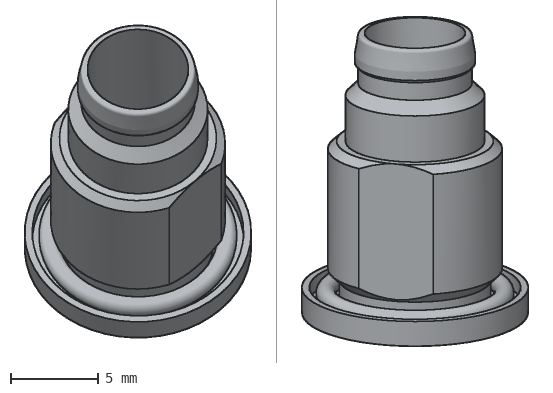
import cadquery as cq

total_height = 16.8
bore_radius = 2.89

cup_radius = 6.5
cup_wall = 0.44
cup_height = 1.5
cup_floor = 0.6

ring_section_radius = 0.55
ring_outer_radius = 5.68
ring_center_radius = ring_outer_radius - ring_section_radius
ring_center_z = cup_floor + ring_section_radius

neck_radius = 4.35
neck_top = 1.98
wrench_radius = 5.0
wrench_top = 10.3
across_flats = 9.0
lower_chamfer_height = wrench_radius - neck_radius
upper_chamfer_width = wrench_radius - across_flats / 2
upper_chamfer_height = 0.45

spigot_radius = 4.0
spigot_top = 13.07
groove_radius = 3.28
groove_bottom = spigot_top + spigot_radius - groove_radius
groove_top = 14.85
barb_radius = 3.46
barb_bottom = groove_top + barb_radius - groove_radius
barb_taper_start = 15.57
barb_tip_radius = 3.26
tip_rounding = 0.2


def make_cup():
    """Shallow round cup whose floor is pierced by the neck of the fitting."""
    disc = cq.Workplane("XY").circle(cup_radius).circle(neck_radius).extrude(cup_height)
    recess = (
        cq.Workplane("XY")
        .workplane(offset=cup_floor)
        .circle(cup_radius - cup_wall)
        .extrude(cup_height - cup_floor)
    )
    return disc.cut(recess)


def make_sealing_ring():
    """Round-section ring lying in the cup."""
    return (
        cq.Workplane("XZ")
        .center(ring_center_radius, ring_center_z)
        .circle(ring_section_radius)
        .revolve(360, (-ring_center_radius, 0), (-ring_center_radius, 1))
    )


def make_turned_blank():
    """Revolved fitting with its through bore, before the flats are cut."""
    return (
        cq.Workplane("XZ")
        .moveTo(bore_radius, 0)
        .lineTo(neck_radius, 0)
        .lineTo(neck_radius, neck_top)
        .lineTo(wrench_radius, neck_top + lower_chamfer_height)
        .lineTo(wrench_radius, wrench_top - upper_chamfer_height)
        .lineTo(wrench_radius - upper_chamfer_width, wrench_top)
        .lineTo(spigot_radius, wrench_top)
        .lineTo(spigot_radius, spigot_top)
        .lineTo(groove_radius, groove_bottom)
        .lineTo(groove_radius, groove_top)
        .lineTo(barb_radius, barb_bottom)
        .lineTo(barb_radius, barb_taper_start)
        .lineTo(barb_tip_radius, total_height)
        .lineTo(bore_radius, total_height)
        .close()
        .revolve(360, (0, 0), (0, 1))
    )


def make_fitting():
    """Hose fitting with a rounded barb tip and two opposite wrench flats."""
    blank = make_turned_blank()
    tip_edge = cq.selectors.RadiusNthSelector(-1)
    rounded = blank.faces(">Z").edges(tip_edge).fillet(tip_rounding)
    between_flats = cq.Workplane("XY").box(
        across_flats, 2 * wrench_radius, total_height, centered=(True, True, False)
    )
    return rounded.intersect(between_flats)


cup = make_cup()
sealing_ring = make_sealing_ring()
fitting = make_fitting()

result = cq.Compound.makeCompound([cup.val(), sealing_ring.val(), fitting.val()])